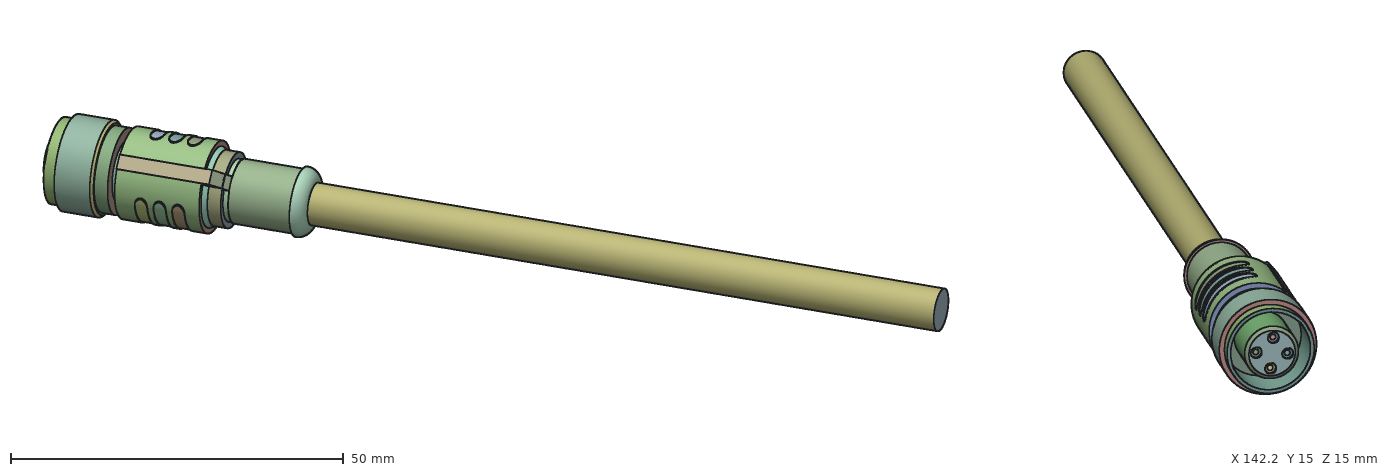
import cadquery as cq

total_length = 142.2
roll_angle = 5.0

insert_radius = 4.1
insert_face_radius = 3.5
insert_bevel_length = 0.4
socket_count = 4
socket_circle_radius = 2.4
socket_radius = 0.4
socket_depth = 4.3
socket_mouth_radius = 0.9
socket_mouth_depth = 0.4

sleeve_start = 1.1
sleeve_radius = 6.7
sleeve_bore_radius = 6.1
sleeve_bore_depth = 7.1
nut_start = 3.1
nut_end = 9.2
nut_diameter = 15.0
nut_radius = nut_diameter / 2
nut_chamfer = 0.4
collar_end = 11.4

neck_radius = 4.7
neck_fillet = 0.4
grip_start = 12.7
grip_end = 26.2
grip_radius = 7.1
taper_start_radius = 6.3
taper_end = 27.0
shoulder_end = 29.2
shoulder_radius = 5.8
boot_neck_radius = 4.8
boot_start = 30.0
boot_radius = 5.0
flange_start = 40.0
flange_radius = 5.4
flange_end = 42.1
cable_radius = 3.3

key_angle = 45.0 - roll_angle
key_width = 2.3
key_height = 0.1
key_slope_start = 27.5

groove_count = 3
groove_pitch = 3.0
groove_width = 2.0
groove_length = 10.5
groove_depth = 0.1
first_groove_x = 16.8


def disc(start, end, radius):
    """Round section along X."""
    return cq.Workplane("YZ").workplane(offset=start).circle(radius).extrude(end - start)


def plug_and_cable():
    """Turned outline of the nut, grip, boot and cable."""
    flange_drop = flange_radius - cable_radius
    outline = (
        cq.Workplane("XY")
        .moveTo(0, 0)
        .lineTo(0, insert_face_radius)
        .lineTo(insert_bevel_length, insert_radius)
        .lineTo(sleeve_start + sleeve_bore_depth, insert_radius)
        .lineTo(sleeve_start + sleeve_bore_depth, sleeve_bore_radius)
        .lineTo(sleeve_start, sleeve_bore_radius)
        .lineTo(sleeve_start, sleeve_radius)
        .lineTo(nut_start, sleeve_radius)
        .lineTo(nut_start, nut_radius)
        .lineTo(nut_end - nut_chamfer, nut_radius)
        .lineTo(nut_end, nut_radius - nut_chamfer)
        .lineTo(nut_end, sleeve_radius)
        .lineTo(collar_end, sleeve_radius)
        .lineTo(collar_end, neck_radius)
        .lineTo(grip_start - neck_fillet, neck_radius)
        .radiusArc((grip_start, neck_radius + neck_fillet), -neck_fillet)
        .lineTo(grip_start, grip_radius)
        .lineTo(grip_end, grip_radius)
        .lineTo(grip_end, taper_start_radius)
        .lineTo(taper_end, shoulder_radius)
        .lineTo(shoulder_end, shoulder_radius)
        .lineTo(shoulder_end, boot_neck_radius)
        .lineTo(boot_start, boot_neck_radius)
        .lineTo(boot_start, boot_radius)
        .lineTo(flange_start, boot_radius)
        .lineTo(flange_start, flange_radius)
        .radiusArc((flange_end, cable_radius), flange_drop)
        .lineTo(total_length, cable_radius)
        .lineTo(total_length, 0)
        .close()
    )
    return outline.revolve(360, (0, 0, 0), (1, 0, 0))


def socket_holes(radius, depth):
    """Ring of blind round holes in the insert face."""
    return (
        cq.Workplane("YZ")
        .polarArray(socket_circle_radius, 0, 360, socket_count)
        .circle(radius)
        .extrude(depth)
    )


def key_rib():
    """Raised strip along the grip, sloping down to the boot; built on +Z."""
    top = grip_radius + key_height
    return (
        cq.Workplane("XZ")
        .moveTo(grip_start, 0)
        .lineTo(grip_start, top)
        .lineTo(key_slope_start, top)
        .lineTo(boot_start, boot_radius)
        .lineTo(boot_start, 0)
        .close()
        .extrude(key_width / 2, both=True)
    )


def finger_grooves():
    """Row of shallow slots following the grip surface; built on +Z."""
    last_groove_x = first_groove_x + (groove_count - 1) * groove_pitch
    slots = (
        cq.Workplane("XY")
        .center((first_groove_x + last_groove_x) / 2, 0)
        .rarray(groove_pitch, 1.4, groove_count, 1)
        .slot2D(groove_length, groove_width, 90)
        .extrude(2 * grip_radius)
    )
    return slots.cut(disc(grip_start, grip_end, grip_radius - groove_depth))


def turn(shape, angle):
    """Turn a feature about the long axis."""
    return shape.rotate((0, 0, 0), (1, 0, 0), angle)


key_turn = 90.0 - key_angle
plug = plug_and_cable().union(turn(key_rib(), key_turn))
for side in (-90.0, 90.0):
    plug = plug.cut(turn(finger_grooves(), key_turn + side))
for radius, depth in ((socket_mouth_radius, socket_mouth_depth), (socket_radius, socket_depth)):
    plug = plug.cut(turn(socket_holes(radius, depth), roll_angle))
result = plug